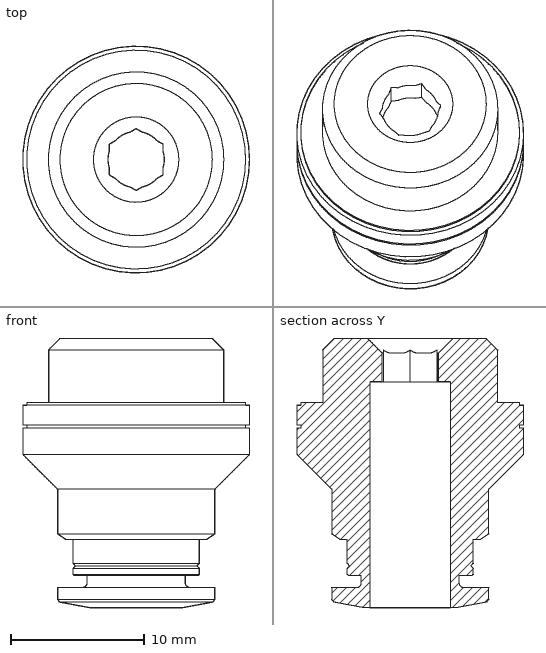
import cadquery as cq

height = 20.2
flange_radius = 17.0 / 2
flange_edge_radius = 16.4 / 2
head_radius = 13.15 / 2
body_radius = 11.8 / 2
collar_radius = 9.5 / 2
neck_radius = 7.4 / 2

button_edge_level = 0.42
button_top = 1.54
collar_bottom = 2.4
collar_groove_bottom = 2.95
collar_groove_top = 3.33
body_bottom = 5.11
body_top = 8.89
ring_groove_bottom = 13.5
flange_top = 15.4

head_chamfer = 0.87
flange_step = 0.2
body_chamfer_width = 0.63
body_chamfer_height = 0.42
collar_chamfer = 0.1
collar_groove_depth = 0.18
neck_fillet = 0.32
button_edge_width = 0.15
button_edge_height = 0.2
button_face_radius = 3.47

mouth_radius = 6.4 / 2
socket_bore_radius = 4.2 / 2
hex_across_flats = 4.0
hex_across_corners = hex_across_flats / (3 ** 0.5 / 2)
socket_end_depth = 3.27
lower_bore_radius = 6.0 / 2

flange_bottom = body_top + flange_radius - body_radius
mouth_end_radius = hex_across_flats / 2
mouth_depth = mouth_radius - mouth_end_radius
socket_end = height - socket_end_depth


def outer_body():
    """Revolve the stepped outer profile about Z."""
    groove_middle = (collar_groove_bottom + collar_groove_top) / 2
    ring_groove_top = ring_groove_bottom + flange_step
    fillet_offset = neck_fillet * (1 - 0.5 ** 0.5)
    fillet_middle = (neck_radius + fillet_offset, button_top + fillet_offset)
    profile = (
        cq.Workplane("XZ")
        .lineTo(button_face_radius, 0)
        .lineTo(body_radius - button_edge_width, button_edge_level)
        .lineTo(body_radius, button_edge_level + button_edge_height)
        .lineTo(body_radius, button_top)
        .lineTo(neck_radius + neck_fillet, button_top)
        .threePointArc(fillet_middle, (neck_radius, button_top + neck_fillet))
        .lineTo(neck_radius, collar_bottom)
        .lineTo(collar_radius - collar_chamfer, collar_bottom)
        .lineTo(collar_radius, collar_bottom + collar_chamfer)
        .lineTo(collar_radius, collar_groove_bottom)
        .lineTo(collar_radius - collar_groove_depth, groove_middle)
        .lineTo(collar_radius, collar_groove_top)
        .lineTo(collar_radius, body_bottom)
        .lineTo(body_radius - body_chamfer_width, body_bottom)
        .lineTo(body_radius, body_bottom + body_chamfer_height)
        .lineTo(body_radius, body_top)
        .lineTo(flange_radius, flange_bottom)
        .lineTo(flange_radius, ring_groove_bottom)
        .lineTo(flange_edge_radius, ring_groove_bottom)
        .lineTo(flange_edge_radius, ring_groove_top)
        .lineTo(flange_radius, ring_groove_top)
        .lineTo(flange_radius, flange_top - flange_step)
        .lineTo(flange_edge_radius, flange_top - flange_step)
        .lineTo(flange_edge_radius, flange_top)
        .lineTo(head_radius, flange_top)
        .lineTo(head_radius, height - head_chamfer)
        .lineTo(head_radius - head_chamfer, height)
        .lineTo(0, height)
        .close()
    )
    return profile.revolve(360, (0, 0), (0, 1))


def conical_mouth():
    """Conical recess leading from the top face into the socket."""
    return (
        cq.Workplane("XZ")
        .moveTo(0, height)
        .lineTo(mouth_radius, height)
        .lineTo(mouth_end_radius, height - mouth_depth)
        .lineTo(0, height - mouth_depth)
        .close()
        .revolve(360, (0, 0), (0, 1))
    )


def hex_socket():
    """Hexagon with corners on the Y axis, relieved at its flats by a round bore."""
    start = cq.Workplane("XY").workplane(offset=socket_end)
    hexagon = start.transformed(rotate=(0, 0, 90)).polygon(6, hex_across_corners).extrude(socket_end_depth)
    relief = start.circle(socket_bore_radius).extrude(socket_end_depth)
    return hexagon.union(relief)


def lower_bore():
    """Wider round bore from the bottom face up to the socket."""
    return cq.Workplane("XY").circle(lower_bore_radius).extrude(socket_end)


result = outer_body().cut(conical_mouth()).cut(hex_socket()).cut(lower_bore())